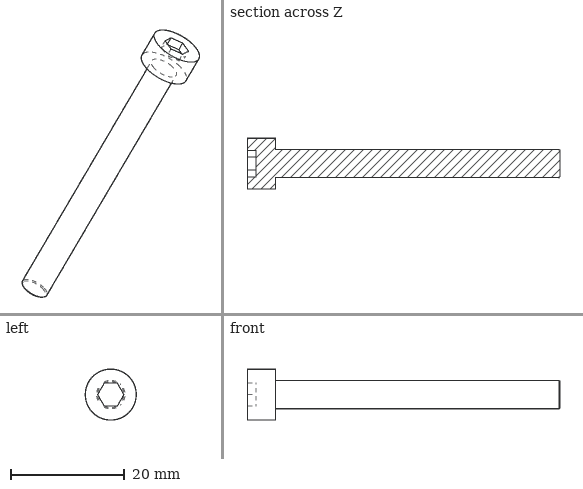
import cadquery as cq
import math

head_diameter = 9.0
head_height = 5.0
shank_diameter = 5.0
shank_length = 50.0
tip_chamfer = 0.2
socket_across_flats = 4.0
socket_depth = 1.5


def rod(diameter, start_x, length):
    """Solid cylinder along +X starting at start_x."""
    return cq.Workplane("YZ", origin=(start_x, 0, 0)).circle(diameter / 2).extrude(length)


def make_head():
    """Plain cylindrical head."""
    return rod(head_diameter, 0, head_height)


def make_shank():
    """Smooth shank with a chamfered tip."""
    return rod(shank_diameter, head_height, shank_length).faces(">X").chamfer(tip_chamfer)


def make_socket():
    """Hexagonal key socket with two opposite corners along Y."""
    sides = 6
    across_corners = socket_across_flats / math.cos(math.pi / sides)
    return cq.Workplane("YZ").polygon(sides, across_corners).extrude(socket_depth)


result = make_head().union(make_shank()).cut(make_socket())